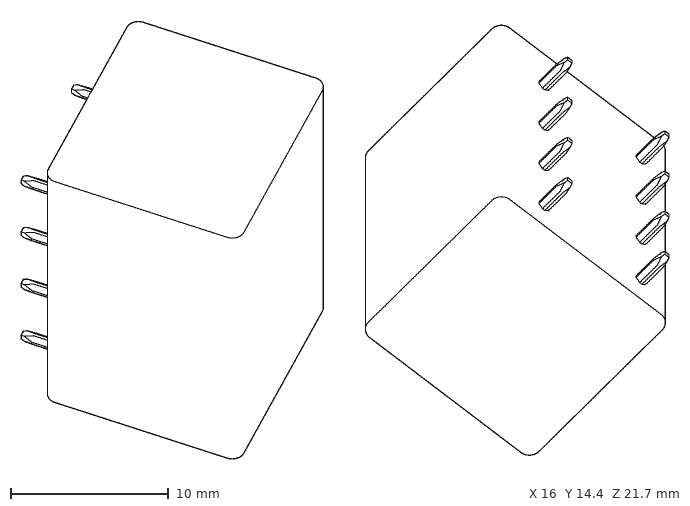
import cadquery as cq

total_length = 16.0
depth = 14.4
height = 21.72
corner_radius = 0.8

pin_length = 2.52
pin_width = 0.8
corner_cut = 0.3
tip_width = 0.37
taper_length = 0.83

pin_rows = 4
pin_columns = 2
row_pitch = 5.08
column_spacing = 8.2
lowest_pin_height = 2.4
front_pin_offset = 2.52

body_length = total_length - pin_length


def make_body():
    """Block with one corner at the origin and rounded upright edges."""
    block = cq.Workplane("XY").box(body_length, depth, height, centered=False)
    return block.edges("|Z").fillet(corner_radius)


def make_pin():
    """Pin along -X from the origin, with flats facing Y and Z."""
    rod = (
        cq.Workplane("YZ")
        .rect(pin_width, pin_width)
        .extrude(-pin_length)
        .edges("|X")
        .chamfer(corner_cut)
    )
    taper_slope = (pin_width - tip_width) / taper_length
    root_width = tip_width + taper_slope * pin_length
    envelope = (
        cq.Workplane("YZ")
        .rect(root_width, root_width)
        .workplane(offset=-pin_length)
        .rect(tip_width, tip_width)
        .loft()
    )
    return rod.intersect(envelope)


result = make_body()
pin = make_pin()
for row in range(pin_rows):
    for column in range(pin_columns):
        pin_y = front_pin_offset + column * column_spacing
        pin_z = lowest_pin_height + row * row_pitch
        result = result.union(pin.translate((0, pin_y, pin_z)))